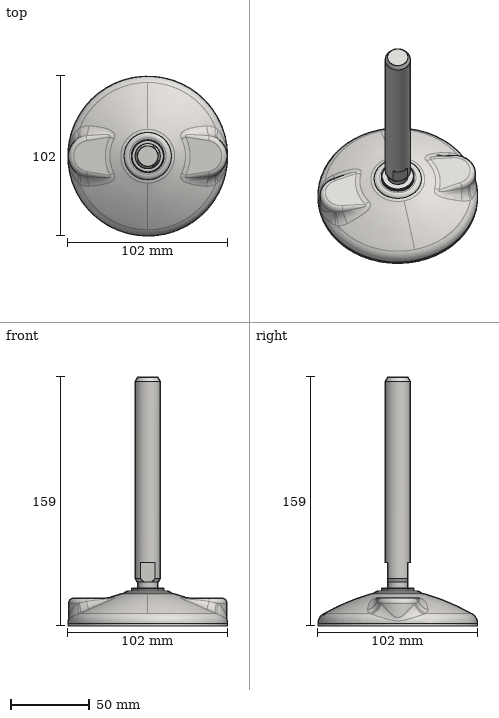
import cadquery as cq
import math

total_height = 159.0
base_radius = 51.0
pad_thickness = 1.6

rim_top_radius = 47.0
rim_top_height = 8.1
dome_mid_radius = 32.1
dome_mid_height = 15.5
dome_top_radius = 17.2
dome_top_height = 20.7
cap_foot_radius = 15.1
cap_foot_height = 21.1
cap_mid_radius = 13.8
cap_mid_height = 22.1
cap_flat_radius = 11.6
cap_height = 22.4

lug_height = 18.0
lug_tip_reach = 50.5
lug_nose_radius = 13.4
lug_inner_reach = 19.1
lug_flare_angle = 9.0
lug_bottom = 2.4
lug_edge_radius = 3.3
lug_blend_radius = 8.9

edge_samples = (0.2, 0.5, 0.8)
touch_tolerance = 0.002

ring_radius = 10.5
ring_top = 24.3
ring_chamfer = 0.5

rod_radius = 8.03
neck_radius = 6.5
shoulder_height = 28.3
shoulder_radius = 7.0
shoulder_chamfer_height = 2.2
tip_chamfer_height = 2.7
tip_radius = 6.5
flat_spacing = 13.0
flat_top = 40.5


def make_pad():
    """Flat disc under the whole foot."""
    return cq.Workplane("XY").circle(base_radius).extrude(pad_thickness)


def rim_middle():
    """Middle of the rim arc, which leaves the bottom edge vertically."""
    run = base_radius - rim_top_radius
    rise = rim_top_height - pad_thickness
    radius = (run**2 + rise**2) / (2 * run)
    half_sweep = math.asin(rise / radius) / 2
    return (
        base_radius - radius * (1 - math.cos(half_sweep)),
        pad_thickness + radius * math.sin(half_sweep),
    )


def make_half_dome():
    """Half (+X side) of a turned foot with a rounded rim, a crowned top and a raised centre cap."""
    return (
        cq.Workplane("YZ")
        .moveTo(0, pad_thickness)
        .lineTo(base_radius, pad_thickness)
        .threePointArc(rim_middle(), (rim_top_radius, rim_top_height))
        .threePointArc((dome_mid_radius, dome_mid_height), (dome_top_radius, dome_top_height))
        .lineTo(cap_foot_radius, cap_foot_height)
        .threePointArc((cap_mid_radius, cap_mid_height), (cap_flat_radius, cap_height))
        .lineTo(0, cap_height)
        .close()
        .revolve(180, (0, 0, 0), (0, -1, 0))
    )


def make_lug():
    """Round-nosed lug pointing along +X, its sides flaring towards the centre."""
    flare = math.radians(lug_flare_angle)
    nose_centre = lug_tip_reach - lug_nose_radius
    side_x = nose_centre + lug_nose_radius * math.sin(flare)
    side_y = lug_nose_radius * math.cos(flare)
    inner_y = side_y + (side_x - lug_inner_reach) * math.tan(flare)
    return (
        cq.Workplane("XY", origin=(0, 0, lug_bottom))
        .moveTo(lug_inner_reach, -inner_y)
        .lineTo(side_x, -side_y)
        .threePointArc((lug_tip_reach, 0), (side_x, side_y))
        .lineTo(lug_inner_reach, inner_y)
        .close()
        .extrude(lug_height - lug_bottom)
        .faces(">Z").edges("not <X")
        .fillet(lug_edge_radius)
    )


def lies_on(shell, edge):
    """True when points spread along the edge all touch the shell."""
    points = [cq.Vertex.makeVertex(*edge.positionAt(share).toTuple()) for share in edge_samples]
    return all(shell.distance(point) < touch_tolerance for point in points)


def is_turned_edge(edge):
    """True for a level circle of the dome itself, at or below the top of the rim."""
    box = edge.BoundingBox()
    return box.zlen < touch_tolerance and box.zmin < rim_top_height + touch_tolerance


def make_base():
    """Half dome with its lug blended in along the lug's whole foot, then repeated half a turn round."""
    half_dome = make_half_dome()
    dome_shell = half_dome.val().Shells()[0]
    half = half_dome.union(make_lug())
    foot_edges = [
        edge for edge in half.edges().vals()
        if edge.Center().x > lug_inner_reach
        and not is_turned_edge(edge)
        and lies_on(dome_shell, edge)
    ]
    half = half.newObject(foot_edges).fillet(lug_blend_radius)
    return half.union(half.rotate((0, 0, 0), (0, 0, 1), 180))


def make_ring():
    """Flat collar on the cap, with the stud neck through its bore."""
    return (
        cq.Workplane("XY", origin=(0, 0, cap_height))
        .circle(ring_radius)
        .extrude(ring_top - cap_height)
        .faces(">Z").edges().chamfer(ring_chamfer)
        .faces("<Z").workplane()
        .circle(neck_radius)
        .cutThruAll()
    )


def make_stud():
    """Turned rod with a narrower neck and two spanner flats facing +Y and -Y."""
    stud = (
        cq.Workplane("XZ")
        .moveTo(0, cap_height)
        .lineTo(neck_radius, cap_height)
        .lineTo(neck_radius, shoulder_height)
        .lineTo(shoulder_radius, shoulder_height)
        .lineTo(rod_radius, shoulder_height + shoulder_chamfer_height)
        .lineTo(rod_radius, total_height - tip_chamfer_height)
        .lineTo(tip_radius, total_height)
        .lineTo(0, total_height)
        .close()
        .revolve(360, (0, 0, 0), (0, 1, 0))
    )
    for side in (-1, 1):
        cutter_y = side * (flat_spacing + rod_radius) / 2
        cutter = (
            cq.Workplane("XY", origin=(0, cutter_y, shoulder_height))
            .rect(2 * rod_radius, rod_radius)
            .extrude(flat_top - shoulder_height)
        )
        stud = stud.cut(cutter)
    return stud


pad = make_pad()
base = make_base()
ring = make_ring()
stud = make_stud()

result = cq.Compound.makeCompound([pad.val(), *base.solids().vals(), ring.val(), stud.val()])